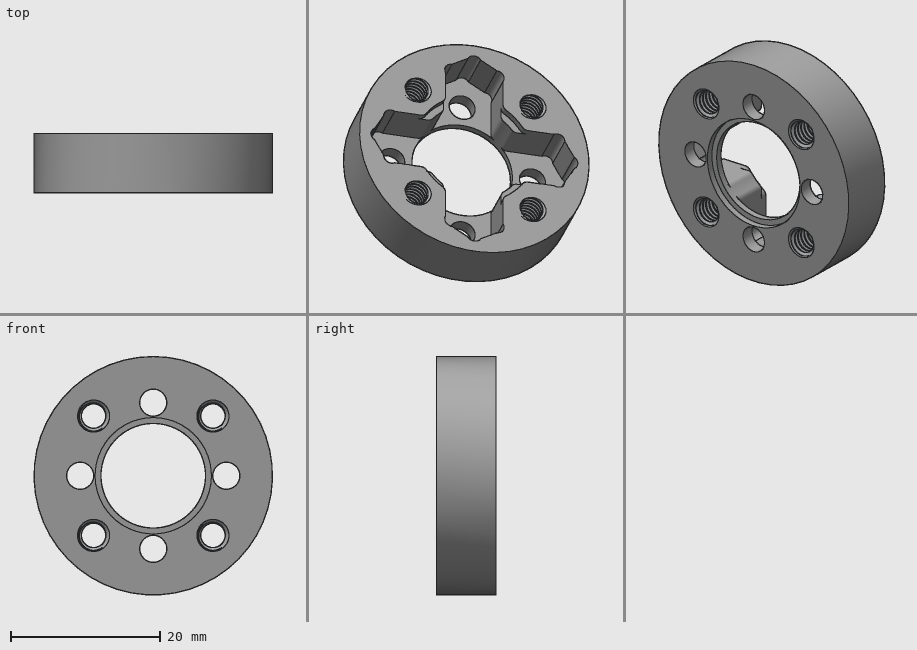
import cadquery as cq
import math

outer_diameter = 32.0
thickness = 8.0

front_recess_diameter = 15.6
front_recess_depth = 1.0
bore_diameter = 14.0
lip_thickness = 1.0
back_recess_diameter = 16.0
back_recess_depth = 1.0

arm_width = 8.0
corner_relief_radius = 1.0
arm_root_radius = 1.0

plain_hole_diameter = 3.6
plain_hole_circle_radius = 9.8

threaded_hole_spacing = 16.0
thread_minor_diameter = 3.24
thread_major_diameter = 4.0
thread_pitch = 0.7
thread_root_width = thread_pitch / 8
thread_mouth_width = thread_pitch * 0.8
groove_overlap = 0.05
countersink_diameter = 4.3
plug_diameter = 5.0

front_y = -thickness / 2
back_y = thickness / 2
pocket_floor_y = front_y + front_recess_depth + lip_thickness


def cylinder(diameter, start_y, length):
    """Cylinder on the Y axis that runs toward +Y from start_y."""
    base = cq.Vector(0, start_y, 0)
    return cq.Workplane(cq.Solid.makeCylinder(diameter / 2, length, base, cq.Vector(0, 1, 0)))


def arm_bar(start_y, length):
    """Bar along X that forms two opposite arms.

    Each end is half of a hexagon centered on a plain hole. A round relief passes
    through each corner of the hexagon half.
    """
    half_width = arm_width / 2
    corner_distance = half_width / math.cos(math.radians(30))
    shoulder_x = plain_hole_circle_radius + corner_distance / 2
    tip_x = plain_hole_circle_radius + corner_distance
    bar = (
        cq.Workplane("XZ", origin=(0, start_y, 0))
        .polyline([
            (-shoulder_x, -half_width),
            (shoulder_x, -half_width),
            (tip_x, 0),
            (shoulder_x, half_width),
            (-shoulder_x, half_width),
            (-tip_x, 0),
        ])
        .close()
        .extrude(-length)
    )
    relief = cylinder(2 * corner_relief_radius, start_y, length)
    relief_distance = corner_distance - corner_relief_radius
    for angle in (-60, 0, 60):
        x = plain_hole_circle_radius + relief_distance * math.cos(math.radians(angle))
        z = relief_distance * math.sin(math.radians(angle))
        bar = bar.union(relief.translate((x, 0, z)))
        bar = bar.union(relief.translate((-x, 0, z)))
    return bar


def round_cross(round_diameter, start_y, length):
    """Round hole joined to the four arms, with the corners between them rounded."""
    bar = arm_bar(start_y, length)
    cross = cylinder(round_diameter, start_y, length).union(bar)
    cross = cross.union(bar.rotate((0, 0, 0), (0, 1, 0), 90))
    root_limit = (round_diameter + arm_root_radius) / 2
    root_box = cq.selectors.BoxSelector(
        (-root_limit, start_y, -root_limit), (root_limit, start_y + length, root_limit))
    return cross.edges("|Y").edges(root_box).fillet(arm_root_radius)


def thread_groove():
    """Helical groove on the Y axis that runs out past both faces of the disc."""
    minor_radius = thread_minor_diameter / 2
    major_radius = thread_major_diameter / 2
    inner_radius = minor_radius - groove_overlap
    helix_length = thickness + 2 * thread_pitch
    helix = cq.Workplane(cq.Wire.makeHelix(thread_pitch, helix_length, minor_radius))
    groove = (
        cq.Workplane("XZ")
        .polyline([
            (inner_radius, -thread_mouth_width / 2),
            (major_radius, -thread_root_width / 2),
            (major_radius, thread_root_width / 2),
            (inner_radius, thread_mouth_width / 2),
        ])
        .close()
        .sweep(helix, isFrenet=True)
    )
    groove = groove.rotate((0, 0, 0), (1, 0, 0), -90)
    return groove.translate((0, front_y - thread_pitch, 0))


def countersink():
    minor_radius = thread_minor_diameter / 2
    mouth_radius = countersink_diameter / 2
    base = cq.Vector(0, front_y, 0)
    cone = cq.Solid.makeCone(
        mouth_radius, minor_radius, mouth_radius - minor_radius, base, cq.Vector(0, 1, 0))
    return cq.Workplane(cone)


def cut_threaded_holes(body):
    """Cut the thread once in a plug, then set a copy of the plug at each corner."""
    plug = cylinder(plug_diameter, front_y, thickness)
    seat = plug
    plug = plug.cut(thread_groove())
    plug = plug.cut(cylinder(thread_minor_diameter, front_y, thickness))
    plug = plug.cut(countersink())
    offset = threaded_hole_spacing / 2
    for x in (-offset, offset):
        for z in (-offset, offset):
            body = body.cut(seat.translate((x, 0, z)))
            body = body.union(plug.translate((x, 0, z)))
    return body


def cut_plain_holes(body):
    hole = cylinder(plain_hole_diameter, front_y, thickness)
    hole = hole.translate((plain_hole_circle_radius, 0, 0))
    for turn in (0, 90, 180, 270):
        body = body.cut(hole.rotate((0, 0, 0), (0, 1, 0), turn))
    return body


def cut_central_opening(body):
    body = body.cut(cylinder(front_recess_diameter, front_y, front_recess_depth))
    body = body.cut(cylinder(bore_diameter, front_y, thickness))
    body = body.cut(round_cross(bore_diameter, pocket_floor_y, back_y - pocket_floor_y))
    return body.cut(round_cross(back_recess_diameter, back_y - back_recess_depth, back_recess_depth))


disc = cylinder(outer_diameter, front_y, thickness)
disc = cut_threaded_holes(disc)
disc = cut_central_opening(disc)
result = cut_plain_holes(disc)